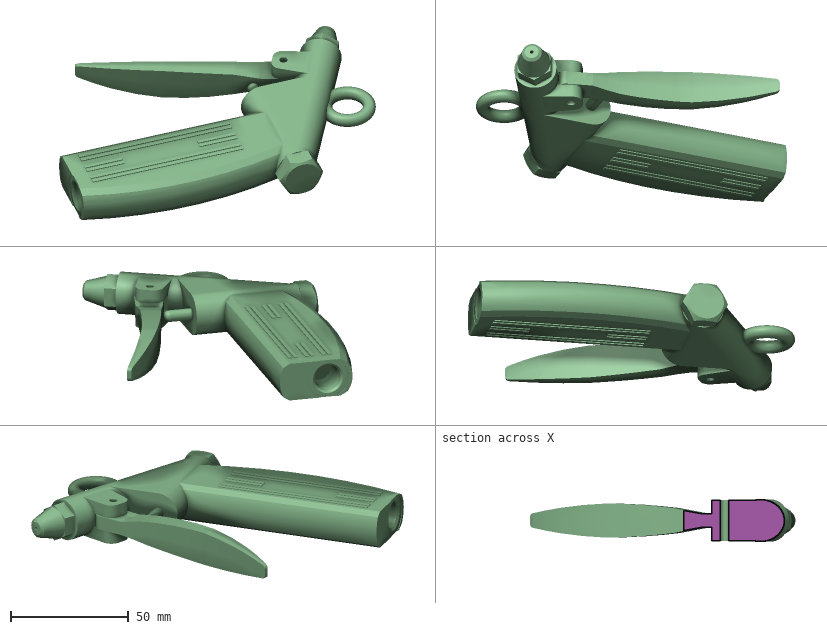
import cadquery as cq
import math


body_diameter = 18.0
body_radius = body_diameter / 2
housing_length = 46.7
barrel_rear_x = 45.0
barrel_angle = 28.0
apex_x = 43.3
barrel_length = 73.5
barrel_overrun = 20.0

nut_across_flats = 17.0
nut_across_corners = nut_across_flats / math.cos(math.radians(30))
nut_length = 7.35
nut_chamfer_depth = 1.8
nut_end_radius = 7.7

pin_diameter = 5.0
pin_length = 11.9
pin_end_round = 2.0

nozzle_hex_flats = 14.0
nozzle_hex_length = 5.4
nozzle_cone_length = 10.2
nozzle_tip_diameter = 7.9
nozzle_tip_chamfer = 0.95
nozzle_bore_diameter = 1.5
nozzle_bore_depth = 10.0

ring_outer_diameter = 24.0
ring_wire_diameter = 5.5
ring_x = 14.7
ring_y = 33.9

hinge_along = 57.5
hinge_drop = 13.6
hinge_hole_diameter = 3.5
lug_thickness = 17.5
lug_root_width = 15.0
lug_end_width = 11.2
lug_end_drop = 18.5
lug_end_round = 4.3

lever_angle = 19.0
tongue_thickness = 6.0
tongue_top = -5.5
tongue_front_across = -7.2
tongue_rear_across = 5.8
tongue_round = 3.0
flare_start = 9.0
flare_end = 21.0
lever_widest = 51.4
lever_tip = 88.6
flare_width = 10.6
lever_max_width = 14.5
lever_tip_width = 5.6
lever_tip_round = 1.8
tongue_front_foot = (flare_start, -5.7)
tongue_rear_foot = (flare_start, tongue_rear_across)
front_face_points = [
    (flare_end, -3.1),
    (28, -2.3),
    (36, -1.65),
    (lever_widest, -1.0),
    (61, -1.6),
    (70, -2.42),
    (79, -3.62),
    (lever_tip, -5.2),
]
rear_face_points = [
    (lever_tip, -3.4),
    (72, 1.9),
    (lever_widest, 5.5),
    (36, 6.2),
    (28, 6.1),
    (flare_end, 5.7),
]
upper_side_point = (36, 6.7)
lower_side_point = (70, 5.8)

grip_front_x = 12.0
grip_bottom_y = -94.9
grip_thickness = 16.5
grip_back_x = 50.3
grip_back_y = -49.2
grip_bow_radius = 171.0
grip_edge_half_width = 6.6
front_crown = 1.5
back_crown = 2.2
front_corner_depth = 4.2
back_corner_depth = 5.2

inlet_x = 33.3
inlet_diameter = 11.45
inlet_mouth_diameter = 13.2
inlet_depth = 15.0
inlet_face_diameter = 18.0
inlet_face_depth = 0.3

rib_width = 1.6
rib_height = 0.4
rib_top_y = -20.6
rib_bottom_y = -88.3
short_rib_length = 16.9
first_rib_x = 17.6
rib_spacing = 2.5
rib_pair_pitch = 7.5

barrel_cos = math.cos(math.radians(barrel_angle))
barrel_sin = math.sin(math.radians(barrel_angle))


def barrel_point(along, drop):
    """XY point at a distance along the barrel axis and a drop below it."""
    x = apex_x - along * barrel_cos - drop * barrel_sin
    y = along * barrel_sin - drop * barrel_cos
    return (x, y)


def barrel_plane(along):
    """Plane square to the barrel, facing the nozzle, with its own x direction along Z."""
    x, y = barrel_point(along, 0)
    return cq.Plane(origin=(x, y, 0), xDir=(0, 0, 1), normal=(-barrel_cos, barrel_sin, 0))


hinge_point = barrel_point(hinge_along, hinge_drop)


def lever_point(along, across):
    """XY point in the lever frame at the hinge."""
    lean = math.radians(lever_angle)
    x = hinge_point[0] - along * math.sin(lean) + across * math.cos(lean)
    y = hinge_point[1] - along * math.cos(lean) - across * math.sin(lean)
    return (x, y)


def plate(sketch, thickness):
    """Sketch extruded to a plate centered on its own plane."""
    return sketch.extrude(thickness).translate(sketch.plane.zDir * (-thickness / 2))


def make_body():
    housing = cq.Workplane("YZ").circle(body_radius).extrude(housing_length)
    barrel = (
        cq.Workplane(barrel_plane(-barrel_overrun))
        .circle(body_radius)
        .extrude(barrel_overrun + barrel_length)
    )
    seam_drop = (barrel_rear_x - apex_x) * math.tan(math.radians(barrel_angle / 2))
    keep_size = 4 * barrel_length
    keep = cq.Workplane("XY").box(keep_size, keep_size, keep_size)
    keep = keep.translate((barrel_rear_x - keep_size / 2, keep_size / 2 - seam_drop, 0))
    barrel = barrel.intersect(keep)
    web_height = apex_x * math.tan(math.radians(barrel_angle))
    web_outline = cq.Workplane("XY").polyline([(0, 0), (0, web_height), (apex_x, 0)]).close()
    web = plate(web_outline, body_diameter)
    return housing.union(barrel).union(web)


def make_nut():
    nut = (
        cq.Workplane("YZ", origin=(housing_length, 0, 0))
        .polygon(6, nut_across_corners)
        .extrude(nut_length)
    )
    corner_radius = nut_across_corners / 2
    nut_end = housing_length + nut_length
    envelope = (
        cq.Workplane("XY")
        .moveTo(housing_length, 0)
        .lineTo(housing_length, corner_radius)
        .lineTo(nut_end - nut_chamfer_depth, corner_radius)
        .lineTo(nut_end, nut_end_radius)
        .lineTo(nut_end, 0)
        .close()
        .revolve(360, (0, 0, 0), (1, 0, 0))
    )
    return nut.intersect(envelope)


def make_pin():
    pin = cq.Workplane("YZ").circle(pin_diameter / 2).extrude(-pin_length)
    return pin.faces("<X").edges().fillet(pin_end_round)


def make_nozzle():
    hex_corners = nozzle_hex_flats / math.cos(math.radians(30))
    hexagon = (
        cq.Workplane(barrel_plane(barrel_length))
        .polygon(6, hex_corners)
        .extrude(nozzle_hex_length)
    )
    cone_start = barrel_length + nozzle_hex_length
    nozzle_end = cone_start + nozzle_cone_length
    cone = (
        cq.Workplane(barrel_plane(cone_start))
        .circle(nozzle_hex_flats / 2)
        .workplane(offset=nozzle_cone_length)
        .circle(nozzle_tip_diameter / 2)
        .loft()
    )
    cone = cone.faces(cq.selectors.DirectionMinMaxSelector(barrel_plane(0).zDir, True))
    cone = cone.edges().chamfer(nozzle_tip_chamfer)
    bore = (
        cq.Workplane(barrel_plane(nozzle_end))
        .circle(nozzle_bore_diameter / 2)
        .extrude(-nozzle_bore_depth)
    )
    return hexagon.union(cone).cut(bore)


def make_ring():
    wire_radius = ring_wire_diameter / 2
    ring = cq.Solid.makeTorus(ring_outer_diameter / 2 - wire_radius, wire_radius)
    return cq.Workplane(ring.translate(cq.Vector(ring_x, ring_y, 0)))


def make_lug():
    corners = [
        barrel_point(hinge_along + lug_root_width / 2, 0),
        barrel_point(hinge_along + lug_end_width / 2, lug_end_drop),
        barrel_point(hinge_along - lug_end_width / 2, lug_end_drop),
        barrel_point(hinge_along - lug_root_width / 2, 0),
    ]
    lug = plate(cq.Workplane("XY").polyline(corners).close(), lug_thickness)
    for corner in corners[1:3]:
        lug = lug.edges(cq.selectors.NearestToPointSelector((*corner, 0))).fillet(lug_end_round)
    slot_corners = [
        barrel_point(hinge_along + lug_root_width, body_radius),
        barrel_point(hinge_along + lug_root_width, lug_end_drop),
        barrel_point(hinge_along - lug_root_width, lug_end_drop),
        barrel_point(hinge_along - lug_root_width, body_radius),
    ]
    return lug.cut(plate(cq.Workplane("XY").polyline(slot_corners).close(), tongue_thickness))


def make_lever():
    side = (
        cq.Workplane("XY")
        .moveTo(*lever_point(tongue_top, tongue_front_across))
        .lineTo(*lever_point(*tongue_front_foot))
        .spline([lever_point(*spot) for spot in front_face_points], includeCurrent=True)
        .lineTo(*lever_point(*rear_face_points[0]))
        .spline([lever_point(*spot) for spot in rear_face_points[1:]], includeCurrent=True)
        .lineTo(*lever_point(*tongue_rear_foot))
        .lineTo(*lever_point(tongue_top, tongue_rear_across))
        .close()
    )
    side = plate(side, lever_max_width)
    top_corner = (*lever_point(tongue_top, tongue_front_across), 0)
    side = side.edges(cq.selectors.NearestToPointSelector(top_corner)).fillet(tongue_round)

    lean = math.radians(lever_angle)
    width_plane = cq.Plane(
        origin=(*hinge_point, 0),
        xDir=(-math.sin(lean), -math.cos(lean), 0),
        normal=(math.cos(lean), -math.sin(lean), 0),
    )
    half_tongue = tongue_thickness / 2
    half_flare = flare_width / 2
    half_max = lever_max_width / 2
    half_tip = lever_tip_width / 2
    width = (
        cq.Workplane(width_plane)
        .moveTo(tongue_top, 0)
        .lineTo(tongue_top, half_tongue)
        .lineTo(flare_start, half_tongue)
        .lineTo(flare_end, half_flare)
        .threePointArc(upper_side_point, (lever_widest, half_max))
        .threePointArc(lower_side_point, (lever_tip, half_tip))
        .lineTo(lever_tip, 0)
        .mirrorX()
    )
    width = plate(width, 2 * lever_max_width)
    for corner_z in (half_tip, -half_tip):
        tip_corner = (*lever_point(lever_tip, 0), corner_z)
        width = width.edges(cq.selectors.NearestToPointSelector(tip_corner)).fillet(lever_tip_round)
    return side.intersect(width)


def make_grip():
    half = grip_thickness / 2
    edge = grip_edge_half_width
    grip_length = -grip_bottom_y
    front = (
        cq.Workplane("ZX", origin=(0, grip_bottom_y, 0))
        .moveTo(half, grip_back_x)
        .lineTo(half, grip_front_x + front_corner_depth)
        .lineTo(edge, grip_front_x + front_crown)
        .threePointArc((0, grip_front_x), (-edge, grip_front_x + front_crown))
        .lineTo(-half, grip_front_x + front_corner_depth)
        .lineTo(-half, grip_back_x)
        .close()
        .extrude(grip_length)
    )
    center_x = grip_back_x - grip_bow_radius
    back = (
        cq.Workplane("XZ", origin=(0, grip_back_y, 0))
        .moveTo(center_x, half)
        .lineTo(grip_back_x - back_corner_depth, half)
        .lineTo(grip_back_x - back_crown, edge)
        .threePointArc((grip_back_x, 0), (grip_back_x - back_crown, -edge))
        .lineTo(grip_back_x - back_corner_depth, -half)
        .lineTo(center_x, -half)
        .close()
        .revolve(360, (center_x, 0, 0), (center_x, 1, 0))
    )
    return front.intersect(back)


def make_ribs():
    ribs = cq.Workplane("XY")
    long_span = (rib_bottom_y, rib_top_y)
    lower_span = (rib_bottom_y, rib_bottom_y + short_rib_length)
    upper_span = (rib_top_y - short_rib_length, rib_top_y)
    pair_spans = [[long_span], [lower_span, upper_span], [long_span]]
    for pair, spans in enumerate(pair_spans):
        for member in range(2):
            middle_x = first_rib_x + rib_width / 2 + pair * rib_pair_pitch + member * rib_spacing
            for bottom, top in spans:
                rib = cq.Workplane("XY").box(rib_width, top - bottom, grip_thickness + 2 * rib_height)
                ribs = ribs.union(rib.translate((middle_x, (bottom + top) / 2, 0)))
    return ribs


def make_inlet():
    """Recessed face, chamfered mouth and bore cut up into the grip end."""
    bore_radius = inlet_diameter / 2
    mouth_radius = inlet_mouth_diameter / 2
    face_y = grip_bottom_y + inlet_face_depth
    return (
        cq.Workplane("XY")
        .moveTo(inlet_x, grip_bottom_y)
        .lineTo(inlet_x + inlet_face_diameter / 2, grip_bottom_y)
        .lineTo(inlet_x + inlet_face_diameter / 2, face_y)
        .lineTo(inlet_x + mouth_radius, face_y)
        .lineTo(inlet_x + bore_radius, face_y + mouth_radius - bore_radius)
        .lineTo(inlet_x + bore_radius, grip_bottom_y + inlet_depth)
        .lineTo(inlet_x, grip_bottom_y + inlet_depth)
        .close()
        .revolve(360, (inlet_x, 0, 0), (inlet_x, 1, 0))
    )


hinge_hole = (
    cq.Workplane("XY")
    .center(*hinge_point)
    .circle(hinge_hole_diameter / 2)
    .extrude(body_diameter, both=True)
)

result = make_body()
for piece in (make_nut(), make_pin(), make_nozzle(), make_ring(), make_lug(), make_lever()):
    result = result.union(piece)
result = result.union(make_grip().union(make_ribs()))
result = result.cut(make_inlet()).cut(hinge_hole)